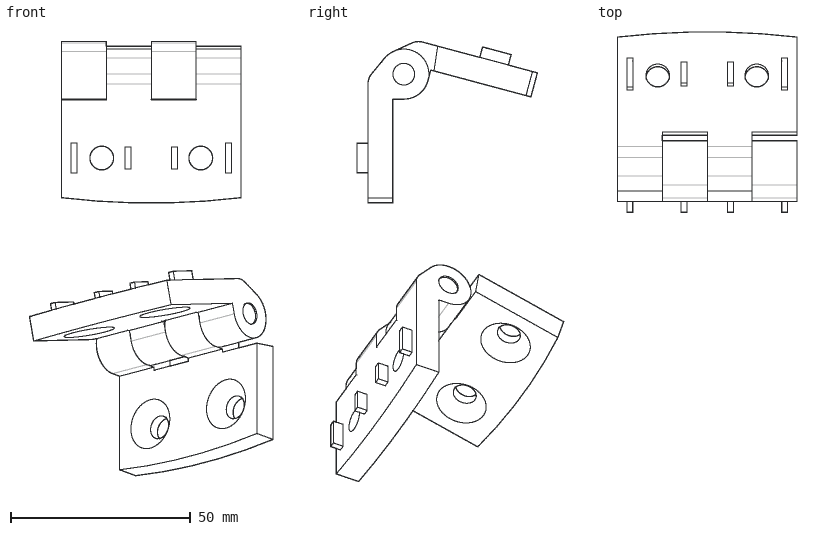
import cadquery as cq
import math

WIDTH = 50.0
THICKNESS = 7.0
BARREL_RADIUS = 7.0
PIN_RADIUS = 3.0
PIN_RECESS = 0.5
OUTER_OFFSET = 10.0
EDGE_REACH = 34.35
EDGE_BULGE = 1.5
FLAT_ANGLE = 39.5
BEND_RADIUS = 4.5
FOLD_ANGLE = 75.0

SLOT_OUTER_DEPTH = 7.1
SLOT_INNER_DEPTH = 7.9

FIXING_REACH = 23.3
HOLE_RADIUS = 3.25
SINK_RADIUS = 7.1
SINK_START = 3.0
HOLE_OFFSET = 13.75
TAB_WIDTH = 1.7
TAB_HEIGHT = 3.0
TABS = [(21.5, 8.3), (6.5, 6.0)]

HALF_WIDTH = WIDTH / 2
KNUCKLE_WIDTH = WIDTH / 4
INNER_OFFSET = OUTER_OFFSET - THICKNESS
SLOT_X_STARTS = [-HALF_WIDTH, 0]



def extrude_profile(profile, x_start, length):
    """Extrude a closed YZ profile along +X from x_start."""
    return profile.extrude(length).translate((x_start, 0, 0))


def leaf_body():
    """Plate and barrel as one full-width extrusion."""
    slant = math.radians(FLAT_ANGLE)
    tangent_y = -BARREL_RADIUS * math.cos(slant)
    tangent_z = BARREL_RADIUS * math.sin(slant)

    corner_z = tangent_z - (OUTER_OFFSET + tangent_y) / math.tan(slant)
    bend_setback = BEND_RADIUS * math.tan(slant / 2)
    bend_start_y = -OUTER_OFFSET + bend_setback * math.sin(slant)
    bend_start_z = corner_z + bend_setback * math.cos(slant)
    bend_end_z = corner_z - bend_setback
    bend_mid_y = -OUTER_OFFSET + BEND_RADIUS * (1 - math.cos(slant / 2))
    bend_mid_z = bend_end_z + BEND_RADIUS * math.sin(slant / 2)

    free_edge_z = -(EDGE_REACH + EDGE_BULGE)

    profile = (
        cq.Workplane("YZ")
        .moveTo(-OUTER_OFFSET, free_edge_z)
        .lineTo(-OUTER_OFFSET, bend_end_z)
        .threePointArc((bend_mid_y, bend_mid_z), (bend_start_y, bend_start_z))
        .lineTo(tangent_y, tangent_z)
        .threePointArc((BARREL_RADIUS, 0), (0, -BARREL_RADIUS))
        .lineTo(-INNER_OFFSET, -BARREL_RADIUS)
        .lineTo(-INNER_OFFSET, free_edge_z)
        .close()
    )
    return extrude_profile(profile, -HALF_WIDTH, WIDTH)


def curved_edge_envelope():
    """Block whose lower side is the bulged free edge of the plate."""
    return (
        cq.Workplane("XZ", origin=(0, BARREL_RADIUS, 0))
        .moveTo(-HALF_WIDTH, BARREL_RADIUS)
        .lineTo(-HALF_WIDTH, -EDGE_REACH)
        .threePointArc((0, -EDGE_REACH - EDGE_BULGE), (HALF_WIDTH, -EDGE_REACH))
        .lineTo(HALF_WIDTH, BARREL_RADIUS)
        .close()
        .extrude(BARREL_RADIUS + OUTER_OFFSET)
    )


def knuckle_slot(x_start):
    """Space for one knuckle of the mating leaf, with a sloping floor."""
    slope = (SLOT_INNER_DEPTH - SLOT_OUTER_DEPTH) / THICKNESS
    inner_side_y = BARREL_RADIUS
    inner_side_z = -SLOT_INNER_DEPTH - slope * (INNER_OFFSET + inner_side_y)
    profile = cq.Workplane("YZ").polyline([
        (-OUTER_OFFSET, BARREL_RADIUS),
        (-OUTER_OFFSET, -SLOT_OUTER_DEPTH),
        (inner_side_y, inner_side_z),
        (inner_side_y, BARREL_RADIUS),
    ]).close()
    return extrude_profile(profile, x_start, KNUCKLE_WIDTH)


def hinge_axis_cylinder(length):
    """Cylinder of the pin's radius on the hinge axis, centred at mid-width."""
    return cq.Workplane("YZ", origin=(-length / 2, 0, 0)).circle(PIN_RADIUS).extrude(length)


def countersunk_hole(x_centre):
    """Screw hole through the plate, widening as a cone toward the inner face."""
    profile = cq.Workplane("XY").polyline([
        (0, -OUTER_OFFSET),
        (HOLE_RADIUS, -OUTER_OFFSET),
        (HOLE_RADIUS, -OUTER_OFFSET + SINK_START),
        (SINK_RADIUS, -INNER_OFFSET),
        (0, -INNER_OFFSET),
    ]).close()
    hole = profile.revolve(360, (0, 0, 0), (0, 1, 0))
    return hole.translate((x_centre, 0, -FIXING_REACH))


def locating_tabs(offset, length):
    """A mirrored pair of tabs standing on the outer face."""
    return (
        cq.Workplane("XZ", origin=(0, -OUTER_OFFSET, 0))
        .pushPoints([(side * offset, -FIXING_REACH) for side in (-1, 1)])
        .rect(TAB_WIDTH, length)
        .extrude(TAB_HEIGHT)
    )


def make_leaf():
    """One hinge leaf, hanging down from the pin axis."""
    leaf = leaf_body().intersect(curved_edge_envelope())
    for x_start in SLOT_X_STARTS:
        leaf = leaf.cut(knuckle_slot(x_start))
    leaf = leaf.cut(hinge_axis_cylinder(WIDTH))
    for x_centre in (-HOLE_OFFSET, HOLE_OFFSET):
        leaf = leaf.cut(countersunk_hole(x_centre))
    for offset, length in TABS:
        leaf = leaf.union(locating_tabs(offset, length))
    return leaf


def place_leaf(half_turn, fold):
    """A leaf turned about the vertical, then folded up about the pin axis."""
    leaf = make_leaf().rotate((0, 0, 0), (0, 0, 1), half_turn)
    return leaf.rotate((0, 0, 0), (1, 0, 0), fold)


leaves = [place_leaf(half_turn, fold) for half_turn, fold in [(0, 0), (180, FOLD_ANGLE)]]
pin = hinge_axis_cylinder(WIDTH - 2 * PIN_RECESS)

result = cq.Compound.makeCompound([*[leaf.val() for leaf in leaves], pin.val()])